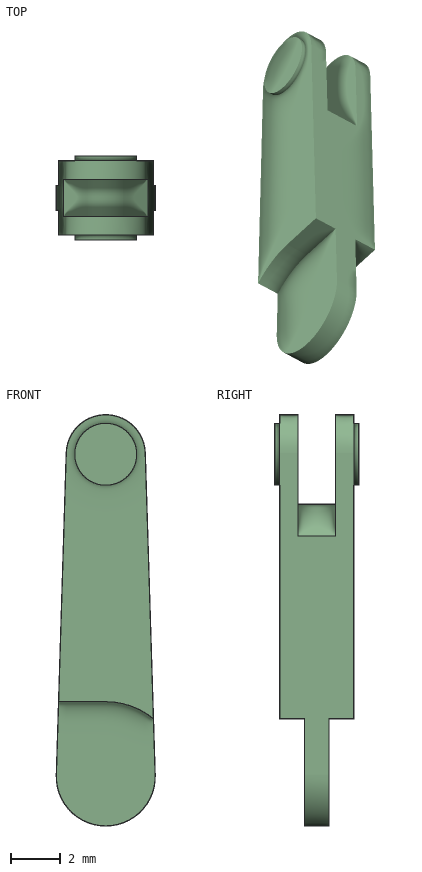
import cadquery as cq
import math

TOP_RADIUS = 1.6
BOTTOM_RADIUS = 2.0
CENTRE_DISTANCE = 13.0
BODY_THICKNESS = 3.0

BOSS_DIAMETER = 2.5
BOSS_HEIGHT = 0.2

SLOT_WIDTH = 1.5
RIDGE_DEPTH = 2.01
RIDGE_RADIUS = 1.0
SLOPE_ANGLE = math.radians(45)

TONGUE_THICKNESS = 1.0
SHOULDER_RADIUS = 3.02

CUT_REACH = 2 * BOTTOM_RADIUS


def extrude_across(profile, thickness):
    """Extrude an XZ profile symmetrically about the plane Y = 0."""
    return profile.extrude(thickness / 2, both=True)


def link_body():
    """Tapered link whose straight sides are tangent to both round ends."""
    taper = math.asin((BOTTOM_RADIUS - TOP_RADIUS) / CENTRE_DISTANCE)
    top_x = TOP_RADIUS * math.cos(taper)
    top_z = TOP_RADIUS * math.sin(taper)
    bottom_x = BOTTOM_RADIUS * math.cos(taper)
    bottom_z = BOTTOM_RADIUS * math.sin(taper) - CENTRE_DISTANCE
    profile = (
        cq.Workplane("XZ")
        .moveTo(-top_x, top_z)
        .threePointArc((0, TOP_RADIUS), (top_x, top_z))
        .lineTo(bottom_x, bottom_z)
        .threePointArc((0, -CENTRE_DISTANCE - BOTTOM_RADIUS), (-bottom_x, bottom_z))
        .close()
    )
    return extrude_across(profile, BODY_THICKNESS)


def fork_slot():
    """Cutter that opens the upper end into a fork, down to the roof-shaped floor."""
    tangent_x = RIDGE_RADIUS * math.sin(SLOPE_ANGLE)
    tangent_z = -RIDGE_DEPTH - RIDGE_RADIUS * (1 - math.cos(SLOPE_ANGLE))
    floor_z = tangent_z - (CUT_REACH - tangent_x) * math.tan(SLOPE_ANGLE)
    open_z = 2 * TOP_RADIUS
    profile = (
        cq.Workplane("XZ")
        .moveTo(-CUT_REACH, open_z)
        .lineTo(-CUT_REACH, floor_z)
        .lineTo(-tangent_x, tangent_z)
        .threePointArc((0, -RIDGE_DEPTH), (tangent_x, tangent_z))
        .lineTo(CUT_REACH, floor_z)
        .lineTo(CUT_REACH, open_z)
        .close()
    )
    return extrude_across(profile, SLOT_WIDTH)


def tongue_relief():
    """Cutter that thins the lower end; its top is flat for -X and an arc for +X."""
    arc_mid = SHOULDER_RADIUS / math.sqrt(2)
    end_z = -CENTRE_DISTANCE - CUT_REACH
    profile = (
        cq.Workplane("XZ")
        .moveTo(-CUT_REACH, end_z)
        .lineTo(-CUT_REACH, SHOULDER_RADIUS - CENTRE_DISTANCE)
        .lineTo(0, SHOULDER_RADIUS - CENTRE_DISTANCE)
        .threePointArc((arc_mid, arc_mid - CENTRE_DISTANCE), (SHOULDER_RADIUS, -CENTRE_DISTANCE))
        .lineTo(SHOULDER_RADIUS, end_z)
        .close()
    )
    tongue_core = cq.Workplane("XY").box(4 * CUT_REACH, TONGUE_THICKNESS, 4 * CENTRE_DISTANCE)
    return extrude_across(profile, BODY_THICKNESS).cut(tongue_core)


def pivot_bosses():
    """Round bar across the pivot whose ends form the two bosses."""
    profile = cq.Workplane("XZ").circle(BOSS_DIAMETER / 2)
    return extrude_across(profile, BODY_THICKNESS + 2 * BOSS_HEIGHT)


result = link_body().union(pivot_bosses()).cut(fork_slot()).cut(tongue_relief())